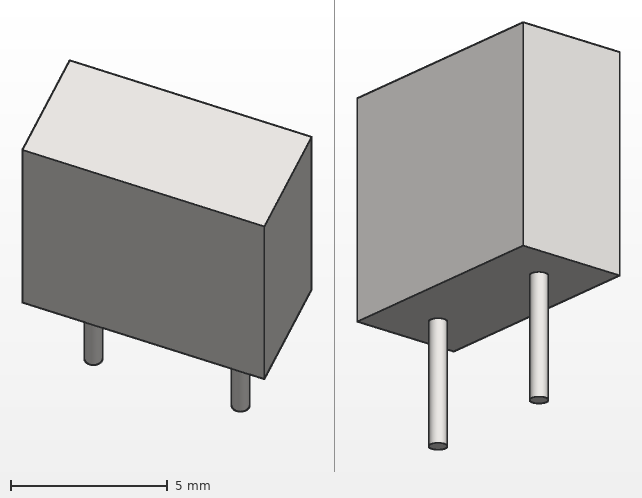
import cadquery as cq

total_height = 12.0
body_length = 8.35
body_width = 4.0
body_height = 7.7
pin_diameter = 0.6
pin_spacing = 5.08

pin_length = total_height - body_height


def make_body():
    """Plain rectangular block standing on Z = 0, centred on the Z axis."""
    return cq.Workplane("XY").box(
        body_length, body_width, body_height, centered=(True, True, False)
    )


def make_pin(x):
    """Straight round lead hanging from the underside of the body."""
    return cq.Workplane("XY").center(x, 0).circle(pin_diameter / 2).extrude(-pin_length)


body = make_body()
pins = [make_pin(side * pin_spacing / 2) for side in (-1, 1)]

result = cq.Compound.makeCompound([body.val(), *[pin.val() for pin in pins]])